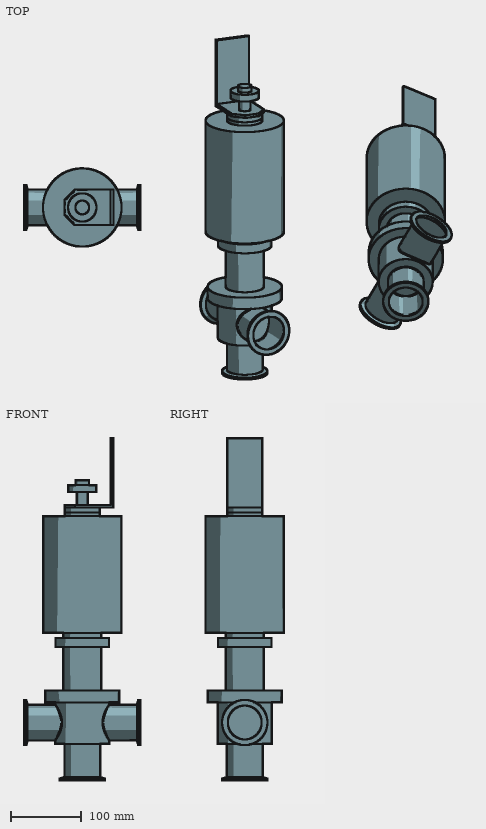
import cadquery as cq
import math

PORT_REACH = 82.0
SIDE_PORT_HEIGHT = PORT_REACH
PIPE_DIAMETER = 50.8
BORE_DIAMETER = 47.8
FERRULE_DIAMETER = 64.0
FERRULE_RIM = 2.85
FERRULE_LENGTH = 5.0

BODY_DIAMETER = 76.3
BODY_BOTTOM = 52.0
BONNET_DIAMETER = 105.0
BONNET_BOTTOM = 110.4
BONNET_TOP = 127.4
COLUMN_DIAMETER = 54.0
COLLAR_DIAMETER = 76.0
COLLAR_BOTTOM = 188.4
COLLAR_TOP = 201.4
ACTUATOR_DIAMETER = 110.8
ACTUATOR_BOTTOM = 208.4
ACTUATOR_TOP = 372.9
NECK_DIAMETER = 50.0
NECK_TOP = 377.9

TOTAL_HEIGHT = 482.9
PLATE_THICKNESS = 4.0
PLATE_WIDTH = NECK_DIAMETER
PLATE_REACH = 44.0
PLATE_TOP = 388.9
PLATE_BOTTOM = PLATE_TOP - PLATE_THICKNESS
PLATE_CORNER = PLATE_WIDTH * (1 - math.sqrt(0.5))
STEM_DIAMETER = 16.0
DISC_DIAMETER = 40.0
DISC_BOTTOM = 406.9
DISC_TOP = 416.9
CAP_DIAMETER = 19.5
CAP_TOP = 423.9


def cylinder(diameter, bottom, top):
    """Solid cylinder on the valve axis between two heights."""
    return cq.Workplane("XY").workplane(offset=bottom).circle(diameter / 2).extrude(top - bottom)


def port_pipe(length):
    """Solid clamp pipe along Z, with its ferrule face at Z = 0."""
    pipe_radius = PIPE_DIAMETER / 2
    rim_radius = FERRULE_DIAMETER / 2
    profile = [
        (0, 0),
        (rim_radius, 0),
        (rim_radius, FERRULE_RIM),
        (pipe_radius, FERRULE_LENGTH),
        (pipe_radius, length),
        (0, length),
    ]
    return cq.Workplane("XZ").polyline(profile).close().revolve(360, (0, 0), (0, 1))


def side_port(shape, turn):
    """Lay a shape built along Z from its port face on a side of the body."""
    return shape.rotate((0, 0, 0), (0, 1, 0), turn).translate(
        (-PORT_REACH * math.sin(math.radians(turn)), 0, SIDE_PORT_HEIGHT)
    )


def make_valve():
    """Ports, body, bonnet, column, collar, actuator and its neck."""
    core = cylinder(BODY_DIAMETER, BODY_BOTTOM, BONNET_BOTTOM)
    pipe = port_pipe(PORT_REACH)
    bore = cylinder(BORE_DIAMETER, 0, PORT_REACH)

    ports = port_pipe(BODY_BOTTOM).cut(cylinder(BORE_DIAMETER, 0, BODY_BOTTOM))
    for turn in (90, -90):
        tube = side_port(pipe, turn).cut(side_port(bore, turn))
        ports = ports.union(tube)

    stack = (
        core.union(cylinder(BONNET_DIAMETER, BONNET_BOTTOM, BONNET_TOP))
        .union(cylinder(COLUMN_DIAMETER, BONNET_TOP, ACTUATOR_BOTTOM))
        .union(cylinder(COLLAR_DIAMETER, COLLAR_BOTTOM, COLLAR_TOP))
        .union(cylinder(ACTUATOR_DIAMETER, ACTUATOR_BOTTOM, ACTUATOR_TOP))
        .union(cylinder(NECK_DIAMETER, ACTUATOR_TOP, NECK_TOP))
    )
    return stack.union(ports)


def make_plate():
    """Angle plate: flat leg with a half-octagon end and an upright leg."""
    half_width = PLATE_WIDTH / 2
    flat_leg = (
        cq.Workplane("XY")
        .workplane(offset=PLATE_BOTTOM)
        .moveTo(PLATE_REACH, -half_width)
        .lineTo(PLATE_REACH, half_width)
        .lineTo(PLATE_CORNER - half_width, half_width)
        .lineTo(-half_width, half_width - PLATE_CORNER)
        .lineTo(-half_width, PLATE_CORNER - half_width)
        .lineTo(PLATE_CORNER - half_width, -half_width)
        .close()
        .extrude(PLATE_THICKNESS)
    )
    upright_leg = cq.Workplane("XY").box(
        PLATE_THICKNESS, PLATE_WIDTH, TOTAL_HEIGHT - PLATE_BOTTOM, centered=(False, True, False)
    ).translate((PLATE_REACH - PLATE_THICKNESS, 0, PLATE_BOTTOM))
    return flat_leg.union(upright_leg)


def make_indicator():
    """Spacer ring, angle plate and disc stem above the actuator neck."""
    return (
        cylinder(NECK_DIAMETER, NECK_TOP, PLATE_BOTTOM)
        .union(make_plate())
        .union(cylinder(STEM_DIAMETER, PLATE_TOP, DISC_BOTTOM))
        .union(cylinder(DISC_DIAMETER, DISC_BOTTOM, DISC_TOP))
        .union(cylinder(CAP_DIAMETER, DISC_TOP, CAP_TOP))
    )


valve = make_valve()
indicator = make_indicator()

result = cq.Compound.makeCompound([valve.val(), indicator.val()])